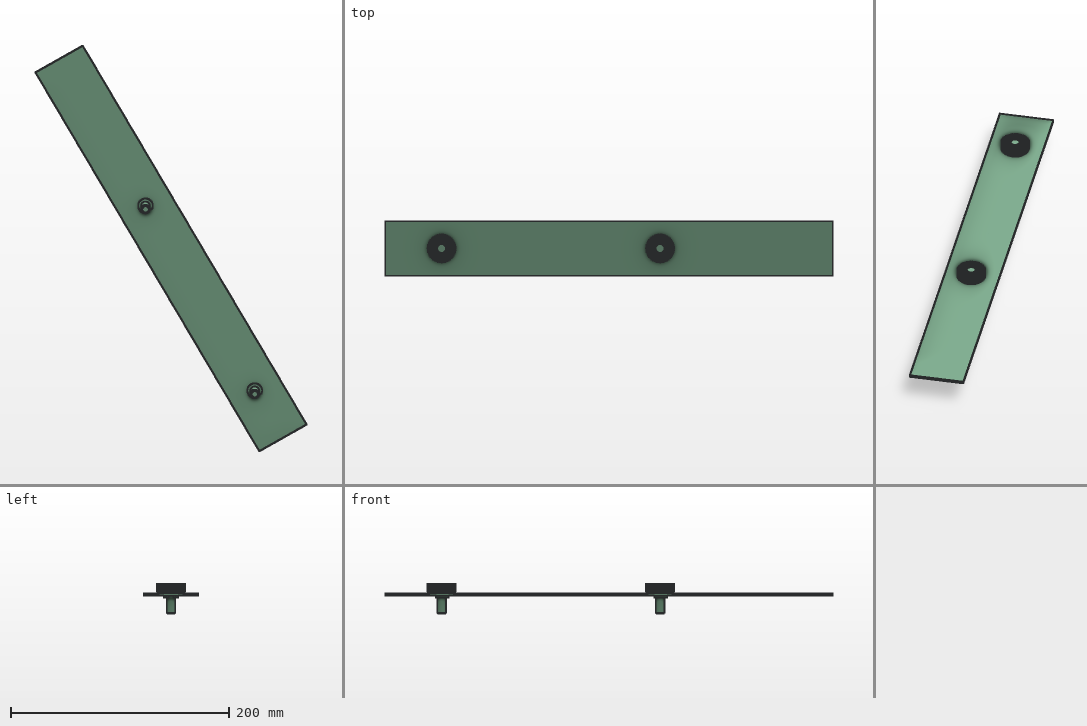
import cadquery as cq
import math

PLATE_LENGTH = 410.0
PLATE_WIDTH = 50.0
PLATE_THICKNESS = 2.0

FIRST_FASTENER_X = 51.5
FASTENER_SPACING = 200.0
FASTENER_X = [FIRST_FASTENER_X, FIRST_FASTENER_X + FASTENER_SPACING]

TOTAL_HEIGHT = 27.5
KNOB_HEIGHT = 8.5
KNOB_BOTTOM = TOTAL_HEIGHT - KNOB_HEIGHT
PLATE_BOTTOM = KNOB_BOTTOM - PLATE_THICKNESS

STUD_DIAMETER = 8.0
STUD_CHAMFER = 1.2

KNOB_DIAMETER = 26.0
KNOB_BOTTOM_CHAMFER = 2.0
TOOTH_COUNT = 48
TOOTH_DEPTH = 1.0
SERRATION_DEPTH = 0.5

CLIP_DIAMETER = 13.5
CLIP_THICKNESS = 2.0
CLIP_SLOT_WIDTH = 4.0
CLIP_FLAT_DISTANCE = 5.5


def cylinder(diameter, bottom, height):
    return cq.Workplane("XY").workplane(offset=bottom).circle(diameter / 2).extrude(height)


def make_plate():
    plate = (
        cq.Workplane("XY")
        .workplane(offset=PLATE_BOTTOM)
        .box(PLATE_LENGTH, PLATE_WIDTH, PLATE_THICKNESS, centered=(False, True, False))
    )
    for x in FASTENER_X:
        plate = plate.cut(cylinder(STUD_DIAMETER, PLATE_BOTTOM, PLATE_THICKNESS).translate((x, 0, 0)))
    return plate


def make_stud():
    return cylinder(STUD_DIAMETER, 0, TOTAL_HEIGHT).faces("<Z").chamfer(STUD_CHAMFER)


def knurled_outline():
    """Closed outline of V-shaped teeth, alternating crest and root."""
    crest_radius = KNOB_DIAMETER / 2
    root_radius = crest_radius - TOOTH_DEPTH
    points = []
    for i in range(2 * TOOTH_COUNT):
        angle = math.pi * i / TOOTH_COUNT
        radius = crest_radius if i % 2 == 0 else root_radius
        points.append((radius * math.cos(angle), radius * math.sin(angle)))
    return points


def serration_cutter():
    """Right-angled V prism along +X, sloping down from the stud's edge to full depth at the rim."""
    start = STUD_DIAMETER / 2
    slope = math.degrees(math.atan2(SERRATION_DEPTH, KNOB_DIAMETER / 2 - start))
    prism_height = 2 * SERRATION_DEPTH
    return (
        cq.Workplane("YZ")
        .polyline([(0, 0), (prism_height, prism_height), (-prism_height, prism_height)])
        .close()
        .extrude(KNOB_DIAMETER / 2)
        .rotate((0, 0, 0), (0, 1, 0), slope)
        .translate((start, 0, TOTAL_HEIGHT))
    )


def make_knob():
    outline = cq.Workplane("XY").workplane(offset=KNOB_BOTTOM).polyline(knurled_outline()).close()
    knob = outline.extrude(KNOB_HEIGHT)

    envelope = cylinder(KNOB_DIAMETER, KNOB_BOTTOM, KNOB_HEIGHT).faces("<Z").chamfer(KNOB_BOTTOM_CHAMFER)
    knob = knob.intersect(envelope)

    pitch = 360 / TOOTH_COUNT
    cutter = serration_cutter()
    for i in range(TOOTH_COUNT):
        knob = knob.cut(cutter.rotate((0, 0, 0), (0, 0, 1), (i + 0.5) * pitch))

    return knob.cut(cylinder(STUD_DIAMETER, KNOB_BOTTOM, KNOB_HEIGHT))


def make_clip():
    bottom = PLATE_BOTTOM - CLIP_THICKNESS
    radius = CLIP_DIAMETER / 2
    base = cq.Workplane("XY").workplane(offset=bottom)
    clip = cylinder(CLIP_DIAMETER, bottom, CLIP_THICKNESS)
    clip = clip.cut(cylinder(STUD_DIAMETER, bottom, CLIP_THICKNESS))
    slot = base.center(-radius / 2, 0).rect(radius, CLIP_SLOT_WIDTH).extrude(CLIP_THICKNESS)
    beyond_flat = (
        base.center(-CLIP_FLAT_DISTANCE - radius / 2, 0).rect(radius, CLIP_DIAMETER).extrude(CLIP_THICKNESS)
    )
    return clip.cut(slot).cut(beyond_flat)


plate = make_plate()
stud = make_stud()
knob = make_knob()
clip = make_clip()

bodies = [plate.val()]
for x in FASTENER_X:
    for part in (stud, knob, clip):
        bodies.append(part.translate((x, 0, 0)).val())

result = cq.Compound.makeCompound(bodies)